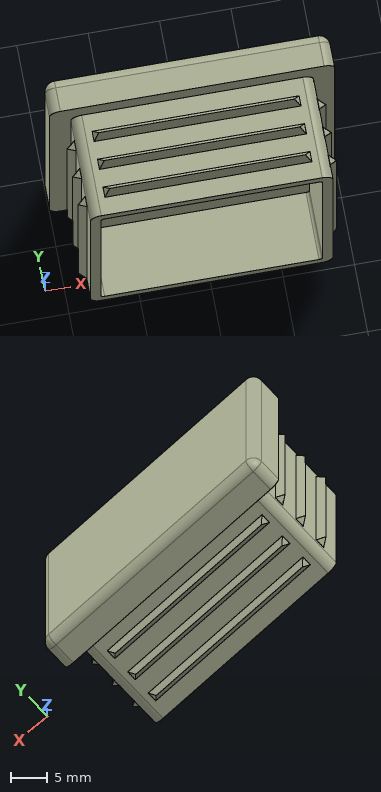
import cadquery as cq

cap_side = 40.0
cap_thickness = 5.0
cap_corner_radius = 1.5
cap_edge_radius = 1.5

total_depth = 20.0
sleeve_side = 34.0
sleeve_corner_radius = 1.5
cavity_side = 31.0
cavity_depth = 10.0
cavity_corner_radius = 0.5

rib_count = 3
rib_pitch = 4.15
rib_length = 29.0
rib_width = 1.5
rib_height = 1.1
rib_end_slope = 0.8
rib_root = 0.4

sleeve_length = total_depth - cap_thickness


def square_block(side, start, length, corner_radius):
    """Square block along +Y with rounded corners, starting at y = start."""
    return (
        cq.Workplane("XZ", origin=(0, start, 0))
        .rect(side, side)
        .extrude(-length)
        .edges("|Y")
        .fillet(corner_radius)
    )


def make_cap():
    cap = square_block(cap_side, sleeve_length, cap_thickness, cap_corner_radius)
    return cap.faces(">Y").edges().fillet(cap_edge_radius)


def make_rib(y):
    """Wedge rib on the +Z side of the sleeve, with sloped ends, centred at the given y."""
    surface = sleeve_side / 2
    crest = surface + rib_height
    half_length = rib_length / 2
    half_crest = half_length - rib_end_slope
    wedge = (
        cq.Workplane("YZ", origin=(-half_length, 0, 0))
        .moveTo(y - rib_width / 2, surface)
        .lineTo(y - rib_width / 2, surface - rib_root)
        .lineTo(y + rib_width / 2, surface - rib_root)
        .lineTo(y + rib_width / 2, surface)
        .lineTo(y, crest)
        .close()
        .extrude(rib_length)
    )
    end_outline = (
        cq.Workplane("XZ", origin=(0, y + rib_width / 2, 0))
        .moveTo(-half_length, surface - rib_root)
        .lineTo(-half_length, surface)
        .lineTo(-half_crest, crest)
        .lineTo(half_crest, crest)
        .lineTo(half_length, surface)
        .lineTo(half_length, surface - rib_root)
        .close()
        .extrude(rib_width)
    )
    return wedge.intersect(end_outline)


result = make_cap().union(square_block(sleeve_side, 0, sleeve_length, sleeve_corner_radius))

cavity = square_block(cavity_side, 0, cavity_depth, cavity_corner_radius)
result = result.cut(cavity)

first_rib = sleeve_length / 2 - rib_pitch * (rib_count - 1) / 2
for index in range(rib_count):
    rib = make_rib(first_rib + index * rib_pitch)
    for angle in (0, 90, 180, 270):
        result = result.union(rib.rotate((0, 0, 0), (0, 1, 0), angle))